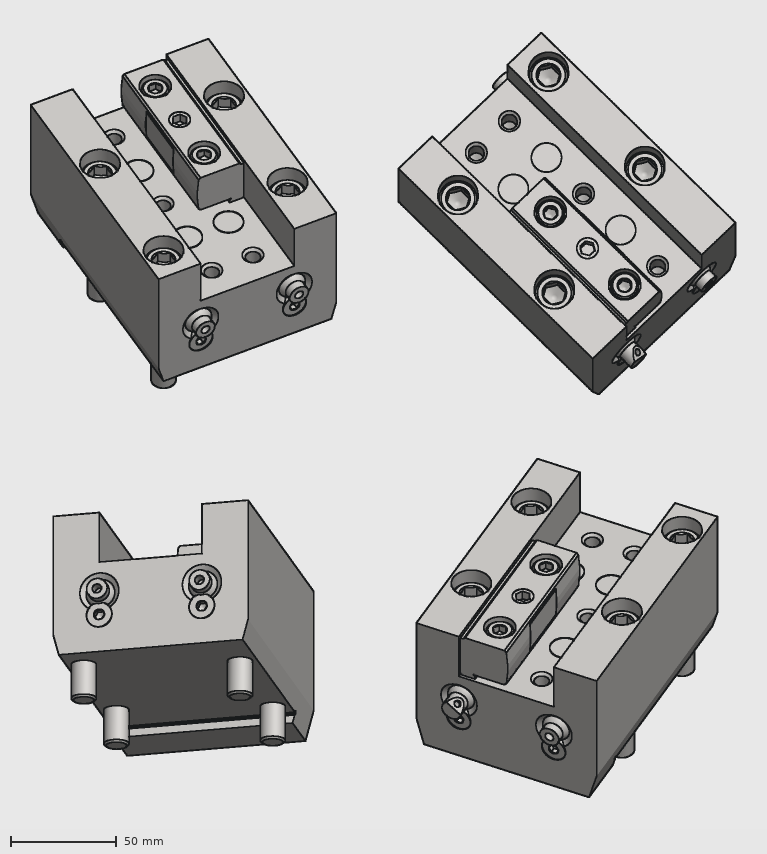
import cadquery as cq
import math

LENGTH = 131.0
WIDTH = 95.0
HEIGHT = 75.0
CHANNEL_WIDTH = 50.0
CHANNEL_DEPTH = 25.0
FLOOR_Z = HEIGHT - CHANNEL_DEPTH
WALL_Y = CHANNEL_WIDTH / 2

SKIRT_HEIGHT = 15.0
SKIRT_ANGLE = 15.0
SKIRT_INSET = SKIRT_HEIGHT * math.tan(math.radians(SKIRT_ANGLE))

FOOT_LENGTH = 26.0
STEP_Z = 5.0
RELIEF_WIDTH = 1.5

SCREW_DIAMETER = 12.0
SCREW_TIP_Z = -13.0
SCREW_TIP_CHAMFER = 1.0
SCREW_HEAD_DIAMETER = 18.0
SCREW_HEAD_CHAMFER = 1.0
SCREW_RECESS_DIAMETER = 19.0
SCREW_RECESS_DEPTH = 6.6
SCREW_RECESS_BOTTOM = 16.0
SCREW_SOCKET = 10.0
SCREW_SOCKET_DEPTH = 6.0
SCREW_Y = 36.5
SCREW_PITCH = 65.0
BACK_SCREW_X = 37.0
FRONT_SCREW_X = 50.0
SCREW_PLACES = [
    (first_x + i * SCREW_PITCH, y)
    for first_x, y in ((BACK_SCREW_X, SCREW_Y), (FRONT_SCREW_X, -SCREW_Y))
    for i in range(2)
]

FLOOR_PITCH = 25.0
FLOOR_ROW_Y = 11.0
MID_X = LENGTH / 2
THREAD_DIAMETER = 7.3
THREAD_DEPTH = 14.0
THREAD_MOUTH_DIAMETER = 10.2
PLUG_DIAMETER = 14.3
PLUG_RECESS = 0.4
DRILL_POINT_ANGLE = 118.0

NOZZLE_Y = 25.0
NOZZLE_Z = 35.0
NOZZLE_DIAMETER = 10.0
NOZZLE_REACH = 5.0
LONG_NOZZLE_REACH = 8.21
NOZZLE_BORE = 4.4
NOZZLE_BORE_DEPTH = 6.0
BALL_DIAMETER = 15.0
BALL_DEPTH = 5.0
SEAT_MOUTH_DIAMETER = 19.0
SEAT_FLOOR_DIAMETER = 14.0
SEAT_DEPTH = BALL_DEPTH - math.sqrt(BALL_DIAMETER**2 - SEAT_FLOOR_DIAMETER**2) / 2
SPRAY_OFFSET = 1.9
SPRAY_TURN = 35.0
SPRAY_TILT = 30.0
SPRAY_BORE = 3.2
SEAL_DIAMETER = 12.4
SEAL_Z = 23.5
SEAL_REACH = 0.5
SEAL_LENGTH = 6.0
SEAL_FLAT = 5.6
SEAL_SOCKET = 4.5
SEAL_SOCKET_DEPTH = 3.0

BAR_START_X = 1.5
BAR_LENGTH = 78.0
BAR_MID_X = BAR_START_X + BAR_LENGTH / 2
BAR_TOP_Z = HEIGHT - 1.0
BAR_BOTTOM_Z = FLOOR_Z + 2.4
BAR_CHAMFER = 1.0
BAR_EDGE_Y = 0.8
RIDGE_Y = 0.05
RIDGE_HEIGHT = 3.8
BAR_MID_Z = (BAR_TOP_Z + BAR_BOTTOM_Z) / 2
BAR_FOOT_WIDTH = 7.7
BAR_FOOT_CHAMFER = 0.5
BAR_RELIEF = 0.8
BAR_REBATE_WIDTH = 1.5
BAR_REBATE_DEPTH = 1.0
PAD_LENGTH = 28.0
PAD_HEIGHT = 16.5
PAD_Y = 0.35
BAR_SCREW_X = (MID_X - 2 * FLOOR_PITCH, MID_X)
BAR_SCREW_RECESS_DIAMETER = 15.2
BAR_SCREW_RECESS_DEPTH = 1.3
BAR_SCREW_HEAD_DIAMETER = 13.0
BAR_SCREW_HEAD_CHAMFER = 0.8
BAR_SCREW_RECESS_BOTTOM = 8.0
BAR_SCREW_SOCKET = 6.0
BAR_SCREW_SOCKET_DEPTH = 4.0
BAR_SCREW_DIAMETER = 8.5
BAR_SCREW_END_Z = FLOOR_Z - 10.0
SET_SCREW_X = MID_X - FLOOR_PITCH
SET_SCREW_DIAMETER = 10.2
SET_SCREW_RECESS = 0.2
SET_SCREW_SOCKET = 6.4
SET_SCREW_SOCKET_DEPTH = 5.0


def cylinder(diameter, start, direction, length):
    solid = cq.Solid.makeCylinder(diameter / 2, length, cq.Vector(*start), cq.Vector(*direction))
    return cq.Workplane(solid)


def cone(start_diameter, end_diameter, start, direction, length):
    radii = (start_diameter / 2, end_diameter / 2)
    return cq.Workplane(cq.Solid.makeCone(*radii, length, cq.Vector(*start), cq.Vector(*direction)))


def drilled(diameter, start, direction, depth):
    """Round hole with a conical drill point."""
    axis = cq.Vector(*direction)
    point_length = diameter / 2 / math.tan(math.radians(DRILL_POINT_ANGLE / 2))
    end = cq.Vector(*start) + axis * depth
    point = cone(diameter, 0, end.toTuple(), direction, point_length)
    return cylinder(diameter, start, direction, depth).union(point)


def hex_prism(across_corners, start, direction, length, corner):
    return cq.Workplane(cq.Plane(start, corner, direction)).polygon(6, across_corners).extrude(length)


def hex_socket(across_flats, start, direction, depth, corner):
    """Hexagonal socket with a countersunk mouth and conical bottom, one corner pointing along `corner`."""
    across_corners = across_flats / math.cos(math.pi / 6)
    prism = hex_prism(across_corners, start, direction, 2 * depth, corner)
    mouth_depth = (across_corners - across_flats) / 2
    mouth = cone(across_corners, across_flats, start, direction, mouth_depth)
    return prism.intersect(drilled(across_corners, start, direction, depth)).union(mouth)


def housing_block():
    half = WIDTH / 2
    section = [
        (half - SKIRT_INSET, 0),
        (half, SKIRT_HEIGHT),
        (half, HEIGHT),
        (WALL_Y, HEIGHT),
        (WALL_Y, FLOOR_Z),
    ]
    mirrored = [(-y, z) for y, z in reversed(section)]
    block = cq.Workplane("YZ").polyline(section + mirrored).close().extrude(LENGTH)
    step = cq.Workplane().box(LENGTH - FOOT_LENGTH, WIDTH, STEP_Z, centered=(False, True, False))
    relief = (
        cq.Workplane("XZ")
        .center(FOOT_LENGTH, STEP_Z)
        .transformed(rotate=(0, 0, 45))
        .rect(RELIEF_WIDTH, RELIEF_WIDTH)
        .extrude(half, both=True)
    )
    return block.cut(step.translate((FOOT_LENGTH, 0, 0))).cut(relief)


def add_mounting_screw(body, x, y):
    head_z = HEIGHT - SCREW_RECESS_DEPTH
    recess = cylinder(SCREW_RECESS_DIAMETER, (x, y, HEIGHT), (0, 0, -1), SCREW_RECESS_BOTTOM)
    head = (
        cylinder(SCREW_HEAD_DIAMETER, (x, y, head_z), (0, 0, -1), SCREW_RECESS_BOTTOM - SCREW_RECESS_DEPTH)
        .faces(">Z")
        .chamfer(SCREW_HEAD_CHAMFER)
    )
    shank = (
        cylinder(SCREW_DIAMETER, (x, y, SCREW_TIP_Z), (0, 0, 1), FLOOR_Z - SCREW_TIP_Z)
        .faces("<Z")
        .chamfer(SCREW_TIP_CHAMFER)
    )
    socket = hex_socket(SCREW_SOCKET, (x, y, head_z), (0, 0, -1), SCREW_SOCKET_DEPTH, (1, 0, 0))
    return body.cut(recess).union(head).union(shank).cut(socket)


def threaded_hole(x, y):
    mouth_depth = (THREAD_MOUTH_DIAMETER - THREAD_DIAMETER) / 2
    mouth = cone(THREAD_MOUTH_DIAMETER, THREAD_DIAMETER, (x, y, FLOOR_Z), (0, 0, -1), mouth_depth)
    return drilled(THREAD_DIAMETER, (x, y, FLOOR_Z), (0, 0, -1), THREAD_DEPTH).union(mouth)


def cut_floor(body):
    for row_y in (-FLOOR_ROW_Y, FLOOR_ROW_Y):
        for i in (-2, 0, 2):
            x = MID_X + i * FLOOR_PITCH
            if row_y > 0 and x in BAR_SCREW_X:
                continue
            body = body.cut(threaded_hole(x, row_y))
    for i, row_y in ((-1, -FLOOR_ROW_Y), (1, -FLOOR_ROW_Y), (1, FLOOR_ROW_Y)):
        x = MID_X + i * FLOOR_PITCH
        body = body.cut(cylinder(PLUG_DIAMETER, (x, row_y, FLOOR_Z), (0, 0, -1), PLUG_RECESS))
    bar_screw_depth = FLOOR_Z - BAR_SCREW_END_Z
    for x in BAR_SCREW_X:
        body = body.cut(cylinder(BAR_SCREW_DIAMETER, (x, FLOOR_ROW_Y, FLOOR_Z), (0, 0, -1), bar_screw_depth))
    return body


def ball_nozzle(reach, end_point, outward):
    """Visible cap of the ball with its spout, from the floor of the seat outwards."""
    ball_radius = BALL_DIAMETER / 2
    spout_radius = NOZZLE_DIAMETER / 2
    spout_root = math.sqrt(ball_radius**2 - spout_radius**2) - BALL_DEPTH
    floor_angle = math.asin(SEAT_FLOOR_DIAMETER / BALL_DIAMETER)
    root_angle = math.asin(NOZZLE_DIAMETER / BALL_DIAMETER)
    middle_angle = (floor_angle + root_angle) / 2
    arc_middle = (ball_radius * math.sin(middle_angle), ball_radius * math.cos(middle_angle) - BALL_DEPTH)
    plane = cq.Plane(end_point, (0, 1, 0), (0, 0, -outward))
    return (
        cq.Workplane(plane)
        .moveTo(0, -SEAT_DEPTH)
        .lineTo(SEAT_FLOOR_DIAMETER / 2, -SEAT_DEPTH)
        .threePointArc(arc_middle, (spout_radius, spout_root))
        .lineTo(spout_radius, reach)
        .lineTo(0, reach)
        .close()
        .revolve(360, (0, 0), (0, 1))
    )


def add_end_fittings(body, end_x, outward, y, reach):
    """Ball nozzle in a conical seat, with a sealing plug below it."""
    inward = (-outward, 0, 0)
    seat = cone(SEAT_MOUTH_DIAMETER, SEAT_FLOOR_DIAMETER, (end_x, y, NOZZLE_Z), inward, SEAT_DEPTH)
    nozzle = ball_nozzle(reach, (end_x, y, NOZZLE_Z), outward)

    seal_face_x = end_x + outward * SEAL_REACH
    seal = cylinder(SEAL_DIAMETER, (seal_face_x, y, SEAL_Z), inward, SEAL_LENGTH)
    above_flat = (
        cq.Workplane()
        .box(2 * SEAL_LENGTH, SEAL_DIAMETER, SEAL_DIAMETER, centered=(True, True, False))
        .translate((seal_face_x, y, SEAL_Z + SEAL_FLAT))
    )
    socket = hex_socket(SEAL_SOCKET, (seal_face_x, y, SEAL_Z), inward, SEAL_SOCKET_DEPTH, (0, 1, 0))
    return body.cut(seat).union(nozzle).union(seal.cut(above_flat)).cut(socket)


def cut_plain_nozzle(body, end_x, outward, y):
    tip = (end_x + outward * NOZZLE_REACH, y, NOZZLE_Z)
    return body.cut(drilled(NOZZLE_BORE, tip, (-outward, 0, 0), NOZZLE_BORE_DEPTH))


def cut_spray_nozzle(body):
    """Slanted face with a spray bore on the long nozzle."""
    turn = math.radians(SPRAY_TURN)
    side = cq.Vector(0, -math.sin(turn), math.cos(turn))
    tilt = math.radians(SPRAY_TILT)
    normal = side * math.cos(tilt) - cq.Vector(math.sin(tilt), 0, 0)
    edge = cq.Vector(-LONG_NOZZLE_REACH, NOZZLE_Y, NOZZLE_Z) + side * SPRAY_OFFSET
    slope = side * math.sin(tilt) + cq.Vector(math.cos(tilt), 0, 0)
    face_length = (NOZZLE_DIAMETER / 2 - SPRAY_OFFSET) / math.sin(tilt)
    face_middle = edge + slope * (face_length / 2)
    face_plane = cq.Plane(edge.toTuple(), slope.toTuple(), normal.toTuple())
    waste = cq.Workplane(face_plane).rect(2 * face_length, 2 * NOZZLE_DIAMETER).extrude(NOZZLE_DIAMETER)
    bore = drilled(SPRAY_BORE, face_middle.toTuple(), (-normal).toTuple(), SPRAY_BORE)
    return body.cut(waste).cut(bore)


def make_housing():
    body = cut_floor(housing_block())
    for x, y in SCREW_PLACES:
        body = add_mounting_screw(body, x, y)
    for end_x, outward in ((0, -1), (LENGTH, 1)):
        for y in (-NOZZLE_Y, NOZZLE_Y):
            if outward < 0 < y:
                body = add_end_fittings(body, end_x, outward, y, LONG_NOZZLE_REACH)
                body = cut_spray_nozzle(body)
            else:
                body = add_end_fittings(body, end_x, outward, y, NOZZLE_REACH)
                body = cut_plain_nozzle(body, end_x, outward, y)
    return body


def bar_profile():
    foot_y = WALL_Y - BAR_FOOT_WIDTH
    rebate_y = WALL_Y - BAR_REBATE_WIDTH
    rebate_z = BAR_TOP_Z - BAR_REBATE_DEPTH
    return [
        (WALL_Y, FLOOR_Z + BAR_FOOT_CHAMFER),
        (WALL_Y, rebate_z),
        (rebate_y, rebate_z),
        (rebate_y - BAR_REBATE_DEPTH, BAR_TOP_Z),
        (BAR_EDGE_Y + BAR_CHAMFER, BAR_TOP_Z),
        (BAR_EDGE_Y, BAR_TOP_Z - BAR_CHAMFER),
        (RIDGE_Y, BAR_MID_Z + RIDGE_HEIGHT / 2),
        (RIDGE_Y, BAR_MID_Z - RIDGE_HEIGHT / 2),
        (BAR_EDGE_Y, BAR_BOTTOM_Z + BAR_CHAMFER),
        (BAR_EDGE_Y + BAR_CHAMFER, BAR_BOTTOM_Z),
        (foot_y + BAR_RELIEF, BAR_BOTTOM_Z),
        (foot_y, BAR_BOTTOM_Z - BAR_RELIEF),
        (foot_y, FLOOR_Z),
        (WALL_Y - BAR_FOOT_CHAMFER, FLOOR_Z),
    ]


def add_bar_screw(bar, x):
    y = FLOOR_ROW_Y
    head_z = BAR_TOP_Z - BAR_SCREW_RECESS_DEPTH
    recess = cylinder(BAR_SCREW_RECESS_DIAMETER, (x, y, BAR_TOP_Z), (0, 0, -1), BAR_SCREW_RECESS_BOTTOM)
    head_height = BAR_SCREW_RECESS_BOTTOM - BAR_SCREW_RECESS_DEPTH
    head = (
        cylinder(BAR_SCREW_HEAD_DIAMETER, (x, y, head_z), (0, 0, -1), head_height)
        .faces(">Z")
        .chamfer(BAR_SCREW_HEAD_CHAMFER)
    )
    shank = cylinder(BAR_SCREW_DIAMETER, (x, y, BAR_SCREW_END_Z), (0, 0, 1), BAR_MID_Z - BAR_SCREW_END_Z)
    socket = hex_socket(BAR_SCREW_SOCKET, (x, y, head_z), (0, 0, -1), BAR_SCREW_SOCKET_DEPTH, (0, 1, 0))
    return bar.cut(recess).union(head).union(shank).cut(socket)


def cut_set_screw(bar):
    """Set screw just below the top of the bar, with a plain flat-bottomed hexagonal socket."""
    top = (SET_SCREW_X, FLOOR_ROW_Y, BAR_TOP_Z)
    recess = cylinder(SET_SCREW_DIAMETER, top, (0, 0, -1), SET_SCREW_RECESS)
    across_corners = SET_SCREW_SOCKET / math.cos(math.pi / 6)
    socket = hex_prism(across_corners, top, (0, 0, -1), SET_SCREW_SOCKET_DEPTH, (0, 1, 0))
    return bar.cut(recess).cut(socket)


def make_bar():
    bar = cq.Workplane("YZ", origin=(BAR_START_X, 0, 0)).polyline(bar_profile()).close().extrude(BAR_LENGTH)
    pad_space = (
        cq.Workplane()
        .box(PAD_LENGTH, WALL_Y, PAD_HEIGHT)
        .translate((BAR_MID_X, PAD_Y - WALL_Y / 2, BAR_MID_Z))
    )
    pad = (
        cq.Workplane()
        .box(PAD_LENGTH, BAR_CHAMFER, PAD_HEIGHT)
        .translate((BAR_MID_X, PAD_Y + BAR_CHAMFER / 2, BAR_MID_Z))
    )
    bar = bar.cut(pad_space).union(pad)
    for x in BAR_SCREW_X:
        bar = add_bar_screw(bar, x)
    return cut_set_screw(bar)


housing = make_housing()
bar = make_bar()
result = cq.Compound.makeCompound([housing.val(), bar.val()])